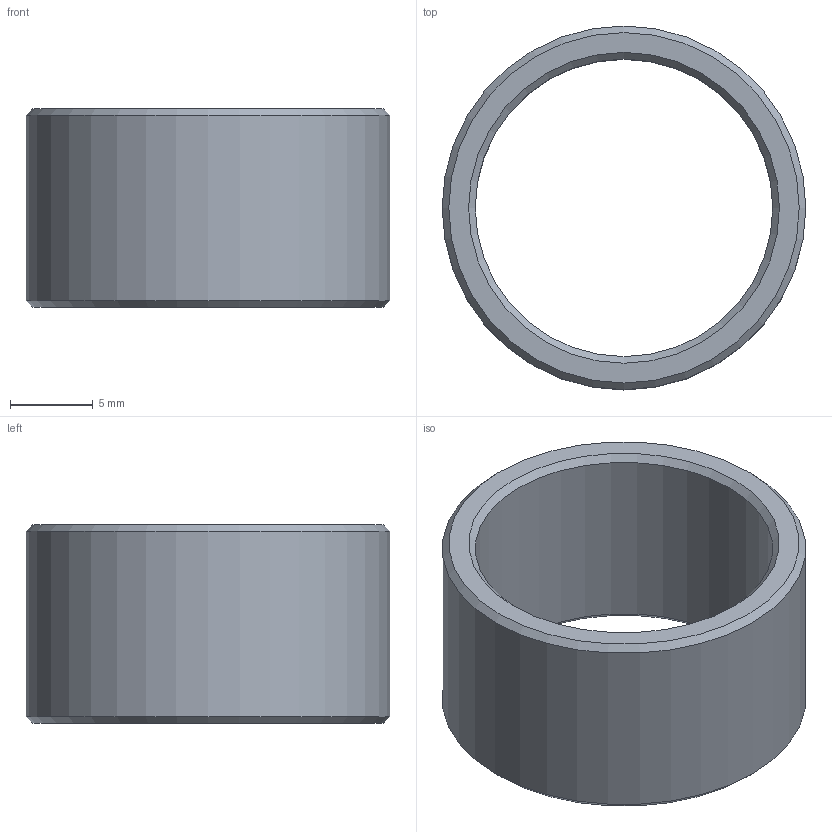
import cadquery as cq

outer_diameter = 22.0
bore_diameter = 18.0
length = 12.0
edge_chamfer = 0.4


def bushing():
    """Straight sleeve with its inner and outer rims chamfered at both ends."""
    sleeve = (
        cq.Workplane("XY")
        .circle(outer_diameter / 2)
        .circle(bore_diameter / 2)
        .extrude(length)
    )
    return sleeve.faces("<Z or >Z").edges().chamfer(edge_chamfer)


result = bushing()